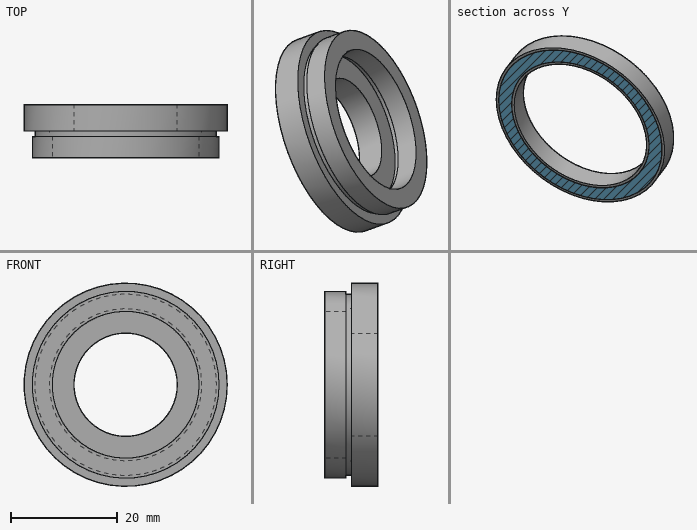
import cadquery as cq

flange_diameter = 38.1
spigot_diameter = 35.0
bore_diameter = 19.3
counterbore_diameter = 27.5

relief_depth = 0.5
relief_width = 1.0
outer_relief_diameter = spigot_diameter - 2 * relief_depth
inner_relief_diameter = counterbore_diameter + 2 * relief_depth

total_length = 10.0
flange_length = 5.0
counterbore_depth = 5.0
shoulder_position = total_length - flange_length


def disc(diameter, start, length):
    """Solid cylinder on the Y axis, from y = start to y = start + length."""
    plane = cq.Workplane("XZ", origin=(0, start, 0))
    return plane.circle(diameter / 2).extrude(-length)


def outer_body():
    """Spigot, relief neck and flange, stacked along Y."""
    spigot_length = shoulder_position - relief_width
    spigot = disc(spigot_diameter, 0, spigot_length)
    neck = disc(outer_relief_diameter, spigot_length, relief_width)
    flange = disc(flange_diameter, shoulder_position, flange_length)
    return spigot.union(neck).union(flange)


def inner_cavity():
    """Through bore, counterbore in the spigot face and the relief at its floor."""
    bore = disc(bore_diameter, 0, total_length)
    counterbore = disc(counterbore_diameter, 0, counterbore_depth)
    relief = disc(inner_relief_diameter, counterbore_depth - relief_width, relief_width)
    return bore.union(counterbore).union(relief)


result = outer_body().cut(inner_cavity())